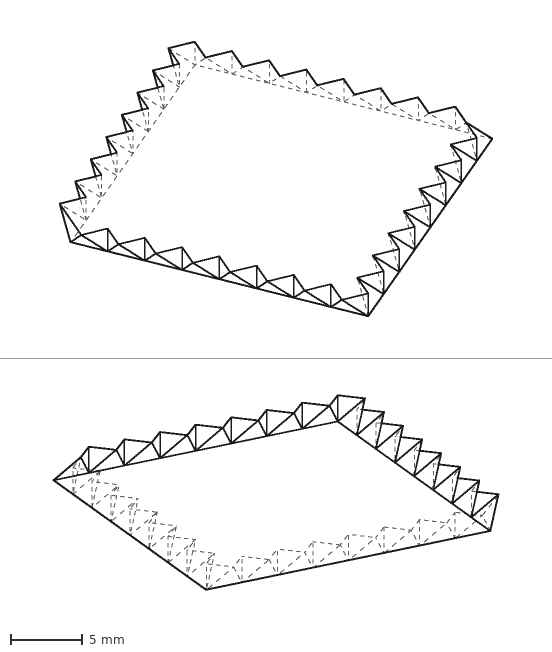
import cadquery as cq
import math

overall_size = 24.05
teeth_per_edge = 8

pitch = overall_size / (teeth_per_edge + 0.5)
tooth_reach = pitch / 2
body_side = teeth_per_edge * pitch

thickness = pitch / math.sqrt(2)


def tooth_row():
    """Teeth along a -Y edge lying on y = 0, each a pyramid lying on its side.

    The upright rectangular base is on the edge and the tip is level with the top face.
    """
    row = cq.Workplane("XY")
    for index in range(teeth_per_edge):
        left = index * pitch
        right = left + pitch
        base = [
            cq.Vector(left, 0, 0),
            cq.Vector(right, 0, 0),
            cq.Vector(right, 0, thickness),
            cq.Vector(left, 0, thickness),
        ]
        tip = cq.Vector(left + pitch / 2, -tooth_reach, thickness)
        outlines = [base]
        for corner, next_corner in zip(base, base[1:] + base[:1]):
            outlines.append([corner, next_corner, tip])
        faces = [cq.Face.makeFromWires(cq.Wire.makePolygon(points, close=True)) for points in outlines]
        row = row.add(cq.Solid.makeSolid(cq.Shell.makeShell(faces)))
    return row.combine()


body = cq.Workplane("XY").box(body_side, body_side, thickness, centered=False)

front_teeth = tooth_row()
left_teeth = front_teeth.rotate((0, 0, 0), (0, 0, 1), 90).mirror("YZ")

back_notches = front_teeth.translate((0, body_side, 0))
right_notches = left_teeth.translate((body_side, 0, 0))

result = body.union(front_teeth).union(left_teeth).cut(back_notches).cut(right_notches)